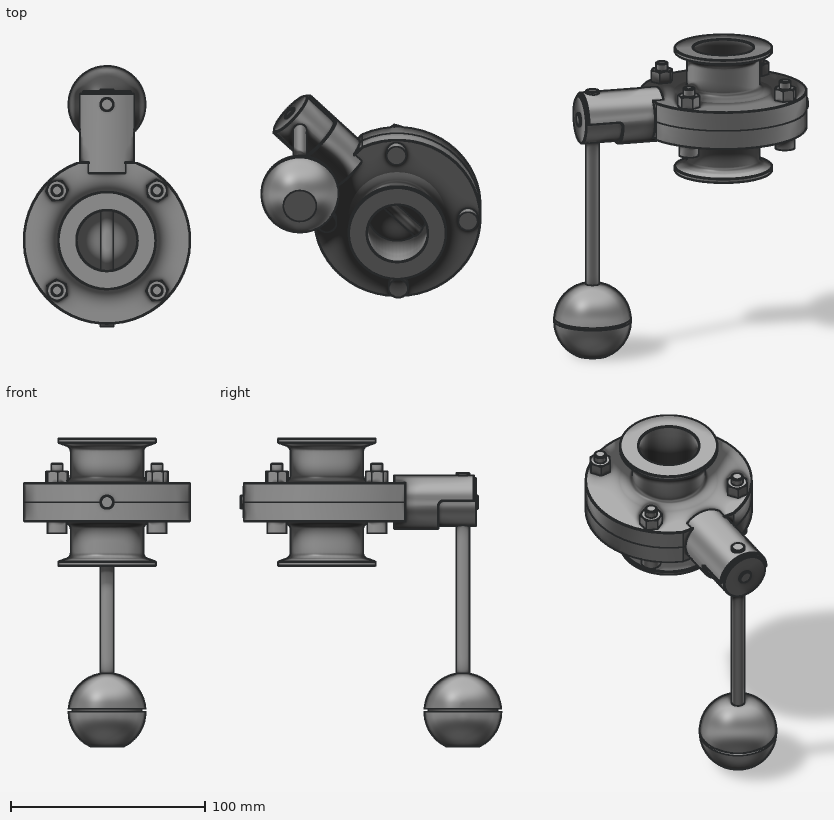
import cadquery as cq
import math

SMALL_CHAMFER = 0.5
SELECTION_MARGIN = 0.2

FLANGE_RADIUS = 86.0 / 2
FLANGE_THICKNESS = 10.0
FLANGE_FLAT_Y = 40.2
CLAMP_RADIUS = 50.5 / 2
CLAMP_FACE_Z = 66.0 / 2
RIM_THICKNESS = 2.5
PIPE_RADIUS = 37.7 / 2
BORE_RADIUS = 31.0 / 2
NECK_RADIUS = 21.3
CLAMP_NECK_RISE = 1.3
FLANGE_NECK_RISE = 0.8
NECK_BLEND_HEIGHT = 2.9

DISC_THICKNESS = 3.0
STEM_RADIUS = 7.0 / 2
STEM_FRONT_Y = -44.5
STEM_BACK_Y = 57.2

BOLT_SPACING = 51.5
BOLT_COUNT = 4
FIRST_BOLT_BEARING = -45.0
BOLT_RADIUS = 6.0 / 2
BOLT_TIP_RADIUS = 5.0 / 2
BOLT_TIP_Z = 20.0
HEAD_RADIUS = 10.0 / 2
HEAD_HEIGHT = 6.0
NUT_SIDES = 6
NUT_ACROSS_FLATS = 10.0
NUT_HEIGHT = 6.0
NUT_TILT = 4.0

SLEEVE_RADIUS = 28.0 / 2
CORE_RADIUS = 25.0 / 2
SLEEVE_FRONT_Y = 34.5
SLEEVE_BACK_Y = 76.0
CORE_BACK_Y = 77.1
BOSS_RADIUS = 7.2 / 2
BOSS_BACK_Y = 78.0
WINDOW_FRONT_Y = 57.7
WINDOW_TOP_Z = 0.5
WINDOW_CORNER_RADIUS = 2.4

LEVER_Y = 70.1
ROD_RADIUS = 7.0 / 2
ROD_TOP_Z = 15.1
BALL_RADIUS = 39.9 / 2
BALL_CENTER_Z = -108.0
OVERALL_HEIGHT = 159.0
BALL_BOTTOM_Z = CLAMP_FACE_Z - OVERALL_HEIGHT
GROOVE_RADIUS = 36.0 / 2
GROOVE_WIDTH = 1.5


def cylinder_z(radius, bottom, top, x=0.0, y=0.0):
    return cq.Workplane("XY", origin=(x, y, bottom)).circle(radius).extrude(top - bottom)


def cylinder_y(radius, front, back):
    return cq.Workplane("XZ", origin=(0, front, 0)).circle(radius).extrude(front - back)


def box_between(low, high):
    size = [b - a for a, b in zip(low, high)]
    return cq.Workplane("XY").box(*size, centered=False).translate(low)


def bolt_positions():
    """Turn angle and centre of each bolt, the first one in the +X -Y quadrant."""
    bolt_circle_radius = BOLT_SPACING / math.sqrt(2)
    for index in range(BOLT_COUNT):
        turn = index * 360 / BOLT_COUNT
        bearing = math.radians(turn + FIRST_BOLT_BEARING)
        yield turn, bolt_circle_radius * math.cos(bearing), bolt_circle_radius * math.sin(bearing)


def blend_middle(wall_point, outer_point):
    """Middle of the concave arc that leaves the pipe wall tangentially and ends at outer_point."""
    wall_r, wall_z = wall_point
    run = outer_point[0] - wall_r
    rise = outer_point[1] - wall_z
    radius = (run**2 + rise**2) / (2 * run)
    half_sweep = math.asin(rise / radius) / 2
    return wall_r + radius * (1 - math.cos(half_sweep)), wall_z + radius * math.sin(half_sweep)


def flange_plate():
    """Round plate with one flat that the handle sleeve fits against."""
    beyond_flat = box_between(
        (-FLANGE_RADIUS, FLANGE_FLAT_Y, 0), (FLANGE_RADIUS, FLANGE_RADIUS, FLANGE_THICKNESS)
    )
    plate = cylinder_z(FLANGE_RADIUS, 0, FLANGE_THICKNESS).cut(beyond_flat)
    return plate.faces(">Z").chamfer(SMALL_CHAMFER)


def clamp_ferrule():
    """Pipe neck that flares to the flange below and to the clamp rim above, turned as one profile."""
    low_flare = (NECK_RADIUS, FLANGE_THICKNESS + FLANGE_NECK_RISE)
    low_wall = (PIPE_RADIUS, low_flare[1] + NECK_BLEND_HEIGHT)
    rim_z = CLAMP_FACE_Z - RIM_THICKNESS
    high_flare = (NECK_RADIUS, rim_z - CLAMP_NECK_RISE)
    high_wall = (PIPE_RADIUS, high_flare[1] - NECK_BLEND_HEIGHT)
    profile = (
        cq.Workplane("XZ")
        .moveTo(0, FLANGE_THICKNESS)
        .lineTo(CLAMP_RADIUS, FLANGE_THICKNESS)
        .lineTo(*low_flare)
        .threePointArc(blend_middle(low_wall, low_flare), low_wall)
        .lineTo(*high_wall)
        .threePointArc(blend_middle(high_wall, high_flare), high_flare)
        .lineTo(CLAMP_RADIUS - SMALL_CHAMFER, rim_z)
        .lineTo(CLAMP_RADIUS, rim_z + SMALL_CHAMFER)
        .lineTo(CLAMP_RADIUS, CLAMP_FACE_Z - SMALL_CHAMFER)
        .lineTo(CLAMP_RADIUS - SMALL_CHAMFER, CLAMP_FACE_Z)
        .lineTo(0, CLAMP_FACE_Z)
        .close()
    )
    return profile.revolve(360, (0, 0, 0), (0, 1, 0))


def flange_half():
    """Upper body half with its bore, stem groove and bolt holes."""
    half = flange_plate().union(clamp_ferrule())
    half = half.cut(cylinder_z(BORE_RADIUS, 0, CLAMP_FACE_Z))
    half = half.faces(">Z").edges(cq.selectors.RadiusNthSelector(0)).chamfer(SMALL_CHAMFER)
    half = half.cut(cylinder_y(STEM_RADIUS, STEM_FRONT_Y, STEM_BACK_Y))
    for _, x, y in bolt_positions():
        half = half.cut(cylinder_z(BOLT_RADIUS, 0, FLANGE_THICKNESS, x, y))
    return half


def disc_and_stem():
    plate = cylinder_z(BORE_RADIUS, -DISC_THICKNESS / 2, DISC_THICKNESS / 2)
    stem = cylinder_y(STEM_RADIUS, STEM_FRONT_Y, STEM_BACK_Y).faces("<Y").chamfer(SMALL_CHAMFER)
    return stem.union(plate)


def bolt_with_nut(turn, x, y):
    """Cap screw clamped by a hexagon nut, made as one body."""
    tip_chamfer = BOLT_RADIUS - BOLT_TIP_RADIUS
    shank = cylinder_z(BOLT_RADIUS, -FLANGE_THICKNESS, BOLT_TIP_Z).faces(">Z").chamfer(tip_chamfer)
    head = cylinder_z(HEAD_RADIUS, -FLANGE_THICKNESS - HEAD_HEIGHT, -FLANGE_THICKNESS)
    corner_diameter = NUT_ACROSS_FLATS / math.cos(math.pi / NUT_SIDES)
    nut_top = FLANGE_THICKNESS + NUT_HEIGHT
    hexagon = cq.Workplane("XY", origin=(0, 0, FLANGE_THICKNESS)).polygon(NUT_SIDES, corner_diameter)
    nut = hexagon.extrude(NUT_HEIGHT)
    corner_overhang = (corner_diameter - NUT_ACROSS_FLATS) / 2
    round_blank = cylinder_z(corner_diameter / 2, FLANGE_THICKNESS, nut_top)
    nut = nut.intersect(round_blank.faces(">Z").chamfer(SMALL_CHAMFER, corner_overhang))
    bolt = shank.union(head).union(nut)
    return bolt.rotate((0, 0, 0), (0, 0, 1), turn + NUT_TILT).translate((x, y, 0))


def chamfer_outer_edges(sleeve, front, back, top):
    """Chamfer the edges of the sleeve's outer wall that lie from front to back in Y and below top."""
    outer_wall = sleeve.faces("%CYLINDER").faces(cq.selectors.AreaNthSelector(-1))
    reach = SLEEVE_RADIUS + SELECTION_MARGIN
    region = cq.selectors.BoxSelector(
        (-reach, front - SELECTION_MARGIN, -reach),
        (reach, back + SELECTION_MARGIN, top + SELECTION_MARGIN),
        boundingbox=True,
    )
    return outer_wall.edges(region).chamfer(SMALL_CHAMFER)


def handle_sleeve():
    """Tube that straddles the flanges in front and opens downward behind so the rod can leave it."""
    sleeve = cylinder_y(SLEEVE_RADIUS, SLEEVE_FRONT_Y, SLEEVE_BACK_Y)
    sleeve = sleeve.faces("<Y or >Y").chamfer(SMALL_CHAMFER)
    sleeve = sleeve.cut(cylinder_y(CORE_RADIUS, SLEEVE_FRONT_Y, SLEEVE_BACK_Y))
    flange_gap = box_between(
        (-SLEEVE_RADIUS, SLEEVE_FRONT_Y, -FLANGE_THICKNESS),
        (SLEEVE_RADIUS, FLANGE_FLAT_Y, FLANGE_THICKNESS),
    )
    window = box_between(
        (-SLEEVE_RADIUS, WINDOW_FRONT_Y, -SLEEVE_RADIUS),
        (SLEEVE_RADIUS, SLEEVE_BACK_Y, WINDOW_TOP_Z),
    )
    window = window.edges("|X and >Z and <Y").fillet(WINDOW_CORNER_RADIUS)
    rod_hole = cylinder_z(ROD_RADIUS, 0, ROD_TOP_Z, y=LEVER_Y)
    sleeve = sleeve.cut(flange_gap).cut(window).cut(rod_hole)
    sleeve = chamfer_outer_edges(sleeve, FLANGE_FLAT_Y, FLANGE_FLAT_Y, FLANGE_THICKNESS)
    return chamfer_outer_edges(sleeve, WINDOW_FRONT_Y, SLEEVE_BACK_Y, WINDOW_TOP_Z)


def handle_core(disc, lever):
    """Plug inside the sleeve with a round boss on its back, bored for the stem and the lever rod."""
    core = cylinder_y(CORE_RADIUS, FLANGE_FLAT_Y, CORE_BACK_Y).faces(">Y").chamfer(SMALL_CHAMFER)
    boss = cylinder_y(BOSS_RADIUS, CORE_BACK_Y, BOSS_BACK_Y).faces(">Y").chamfer(SMALL_CHAMFER)
    return core.union(boss).cut(disc).cut(lever)


def ball_lever():
    """Rod with a ball knob that has a groove above its equator and a flat bottom."""
    rod = cylinder_z(ROD_RADIUS, BALL_CENTER_Z, ROD_TOP_Z).faces(">Z").chamfer(SMALL_CHAMFER)
    ball = cq.Workplane("XY").sphere(BALL_RADIUS).translate((0, 0, BALL_CENTER_Z))
    ball = ball.intersect(cylinder_z(BALL_RADIUS, BALL_BOTTOM_Z, BALL_CENTER_Z + BALL_RADIUS))
    groove_top = BALL_CENTER_Z + GROOVE_WIDTH
    groove = cylinder_z(BALL_RADIUS, BALL_CENTER_Z, groove_top)
    groove = groove.cut(cylinder_z(GROOVE_RADIUS, BALL_CENTER_Z, groove_top))
    return ball.cut(groove).union(rod).translate((0, LEVER_Y, 0))


upper_half = flange_half()
lower_half = upper_half.mirror("XY")
disc = disc_and_stem()
bolts = [bolt_with_nut(*place) for place in bolt_positions()]
lever = ball_lever()
sleeve = handle_sleeve()
core = handle_core(disc, lever)

result = cq.Compound.makeCompound(
    [
        upper_half.val(),
        lower_half.val(),
        disc.val(),
        *[bolt.val() for bolt in bolts],
        sleeve.val(),
        core.val(),
        lever.val(),
    ]
)